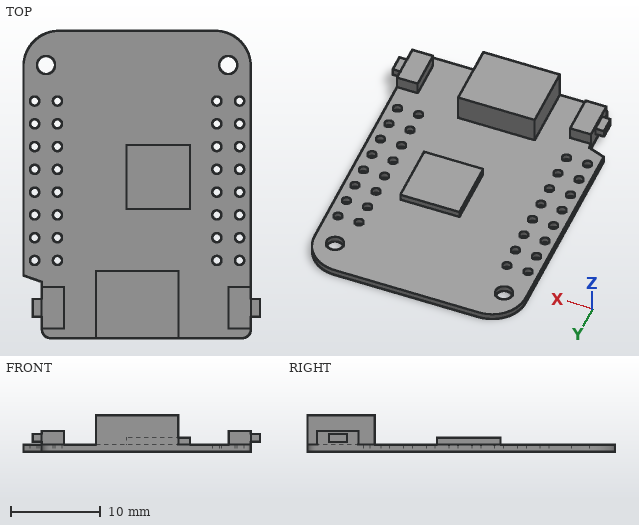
import cadquery as cq

board_width = 25.38
board_length = 34.3
board_thickness = 0.8
rear_corner_radius = 4.0
front_corner_radius = 1.0

step_depth = 2.05
step_front_y = 6.28
step_rear_y = 7.0

pin_pitch = 2.55
pin_rows = 8
pin_diameter = 1.0
pin_edge_distance = pin_pitch / 2
first_pin_y = 8.68

mount_diameter = 2.0
mount_edge_distance = pin_pitch
mount_y = 30.45

chip_size = 7.1
chip_height = 0.8
chip_left = 11.5
chip_front = 14.45

usb_width = 9.2
usb_length = 7.5
usb_height = 3.3

button_width = 2.5
button_length = 4.6
button_height = 1.55
button_center_y = 3.4
plunger_reach = 1.03
plunger_length = 2.0
plunger_height = 0.9
plunger_lift = 0.3


def block(left, front, bottom, width, length, height):
    """Box placed by its lower left front corner."""
    return cq.Workplane("XY").box(width, length, height, centered=False).translate((left, front, bottom))


def make_board():
    board = (
        cq.Workplane("XY")
        .moveTo(step_depth, 0)
        .lineTo(board_width, 0)
        .lineTo(board_width, board_length)
        .lineTo(0, board_length)
        .lineTo(0, step_rear_y)
        .lineTo(step_depth, step_front_y)
        .close()
        .extrude(board_thickness)
    )
    board = board.faces(">Y").edges("|Z").fillet(rear_corner_radius)
    return board.faces("<Y").edges("|Z").fillet(front_corner_radius)


def drill(board, points, diameter):
    """Through holes at the given points."""
    return board.cut(cq.Workplane("XY").pushPoints(points).circle(diameter / 2).extrude(board_thickness))


def pin_points():
    points = []
    for row in range(pin_rows):
        y = first_pin_y + row * pin_pitch
        for column in range(2):
            inset = pin_edge_distance + column * pin_pitch
            points += [(inset, y), (board_width - inset, y)]
    return points


def make_button(outer_x, outward):
    """Button body with its outer face at outer_x; outward is -1 for left, +1 for right."""
    body_left = min(outer_x, outer_x - outward * button_width)
    plunger_left = min(outer_x, outer_x + outward * plunger_reach)
    body = block(
        body_left, button_center_y - button_length / 2, board_thickness,
        button_width, button_length, button_height,
    )
    plunger = block(
        plunger_left, button_center_y - plunger_length / 2, board_thickness + plunger_lift,
        plunger_reach, plunger_length, plunger_height,
    )
    return body.union(plunger)


mount_points = [(x, mount_y) for x in (mount_edge_distance, board_width - mount_edge_distance)]
board = drill(make_board(), pin_points(), pin_diameter)
board = drill(board, mount_points, mount_diameter)

chip = block(chip_left, chip_front, board_thickness, chip_size, chip_size, chip_height)
usb = block((board_width - usb_width) / 2, 0, board_thickness, usb_width, usb_length, usb_height)
left_button = make_button(step_depth, -1)
right_button = make_button(board_width, 1)

result = board.union(chip).union(usb).union(left_button).union(right_button)